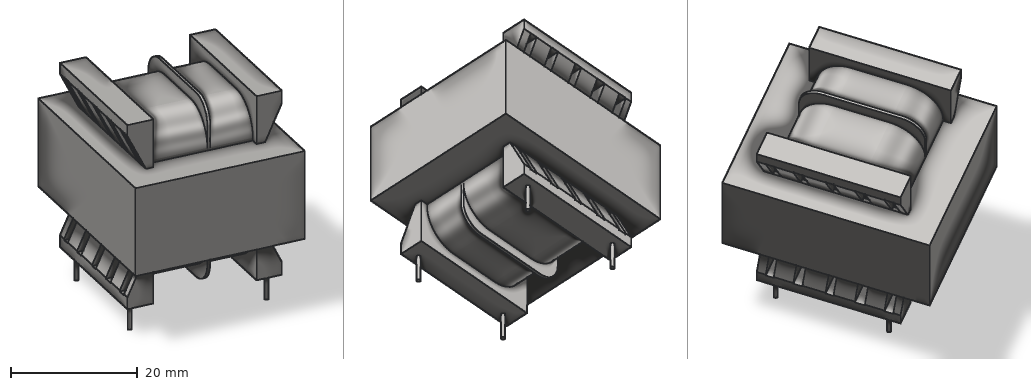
import cadquery as cq

overall_height = 37.5

core_x = 35.0
core_y = 29.7
core_height = 15.52
core_bottom = 8.55

bobbin_height = 32.5
flange_inner_y = 9.08
front_flange_width = 24.25
front_flange_outer_y = 13.65
back_flange_width = 23.92
back_flange_outer_y = 13.55

front_top_rim = 1.95
front_bottom_rim = 2.1
front_waist_top_y = 10.4
front_waist_bottom_y = 10.58
back_top_rim = 2.2
back_bottom_rim = 2.25
back_waist_top_y = 10.58
back_waist_bottom_y = 10.42

groove_spans = [(-10.6, -9.25), (-5.95, -4.42), (-0.52, 0.82), (4.42, 6.1), (9.4, 10.9)]
groove_rim = 1.9
groove_height = 6.5
groove_floor_y = 9.75

winding_width = 21.25
winding_inset = 1.95
winding_radius = 6.0
divider_radius = 4.0
divider_start_y = 1.1
divider_thickness = 0.52

pin_diameter = 0.68
pin_length = overall_height - bobbin_height
pin_embed = 0.75
pin_x = 9.55
pin_y = 12.0

core_top = core_bottom + core_height


def box_between(x0, x1, y0, y1, z0, z1):
    """Axis-aligned block given by its limits."""
    return cq.Workplane("XY").box(x1 - x0, y1 - y0, z1 - z0, centered=False).translate((x0, y0, z0))


def flange(side, width, outer_y, top_rim, bottom_rim, waist_top_y, waist_bottom_y):
    """End flange of the bobbin; side is -1 for the front (-Y) and +1 for the back."""
    outline = [
        (flange_inner_y, 0),
        (outer_y, 0),
        (outer_y, bottom_rim),
        (waist_bottom_y, core_bottom),
        (waist_top_y, core_top),
        (outer_y, bobbin_height - top_rim),
        (outer_y, bobbin_height),
        (flange_inner_y, bobbin_height),
    ]
    points = [(side * y, z) for y, z in outline]
    return cq.Workplane("YZ").polyline(points).close().extrude(width / 2, both=True)


def rounded_slab(start_y, end_y, height, radius):
    """Slab along Y with rounded edges, as wide as the winding and centred on the bobbin height."""
    return (
        cq.Workplane("XY")
        .box(winding_width, end_y - start_y, height)
        .edges("|Y")
        .fillet(radius)
        .translate((0, (start_y + end_y) / 2, bobbin_height / 2))
    )


def grooves():
    """Cutters for the wire grooves, above and below the core."""
    cutters = cq.Workplane("XY")
    upper_start = bobbin_height - groove_rim - groove_height
    for x0, x1 in groove_spans:
        for z0 in (groove_rim, upper_start):
            cutters = cutters.add(
                box_between(x0, x1, -front_flange_outer_y, -groove_floor_y, z0, z0 + groove_height)
            )
    return cutters.combine()


core = cq.Workplane("XY").box(core_x, core_y, core_height).translate((0, 0, core_bottom + core_height / 2))

front_flange = flange(
    -1, front_flange_width, front_flange_outer_y,
    front_top_rim, front_bottom_rim, front_waist_top_y, front_waist_bottom_y,
).cut(grooves())

back_flange = flange(
    1, back_flange_width, back_flange_outer_y,
    back_top_rim, back_bottom_rim, back_waist_top_y, back_waist_bottom_y,
)

winding = rounded_slab(-flange_inner_y, flange_inner_y, bobbin_height - 2 * winding_inset, winding_radius)
divider = rounded_slab(divider_start_y, divider_start_y + divider_thickness, bobbin_height, divider_radius)

pins = (
    cq.Workplane("XY")
    .workplane(offset=-pin_length)
    .rect(2 * pin_x, 2 * pin_y, forConstruction=True)
    .vertices()
    .circle(pin_diameter / 2)
    .extrude(pin_length + pin_embed)
)

result = core.union(front_flange).union(back_flange).union(winding).union(divider).union(pins)